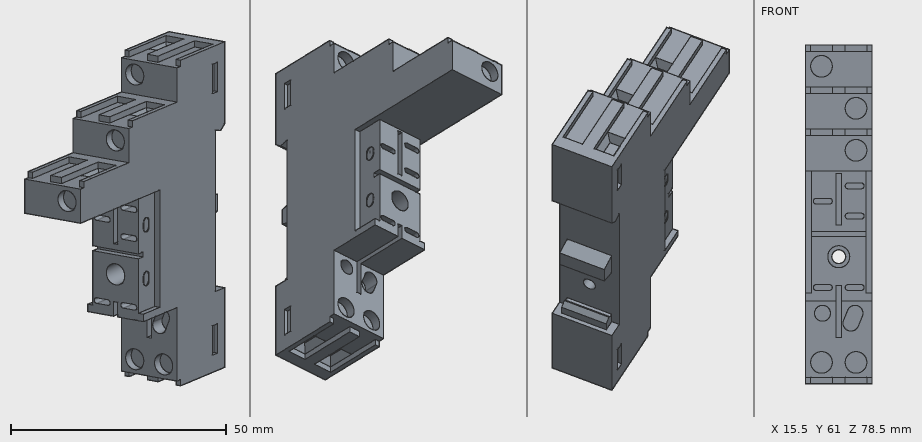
import cadquery as cq
import math


width = 15.5
height = 78.5
full_reach = 61.0
head_reach = 20.2
socket_reach = 34.4
arm_underside = 49.3
seat_bottom = 19.2
terminal_sides = (-1, 1, 1)
tier_count = len(terminal_sides)
tier_pitch = (full_reach - head_reach) / (tier_count - 1)
tier_height = (height - arm_underside) / tier_count

wire_notch = 1.5
channel_width = 5.0
channel_offset = 4.0
channel_length = 16.95
pocket_length = 7.15
pocket_inset = 1.2
pocket_depth = 2.0
screw_diameter = 5.0
screw_depth = 2.35
screw_inset = 4.95

rail_recess = 3.85
upper_hook_root = 58.1
upper_hook_tip = (1.8, 57.5)
upper_hook_back = 58.7
clip_inset = 2.0
rail_stop_center = 39.4
rail_stop_root_height = 6.0
rail_stop_tip_height = 4.0
lower_clip_reach = 1.0
lower_clip_shoulder = 21.3
lower_clip_peak = (2.35, 22.3)
lower_clip_root = 21.8
lower_clip_notch = 3.0

seat_side_depth = 1.4
seat_side_start = 27.5
seat_side_bottom = 21.0
groove_bottom = 34.15
groove_height = 1.2
groove_depth = 2.0
dimple_reach = 30.9
dimple_heights = (28.6, 41.5)
dimple_length = 3.45
dimple_width = 2.3
dimple_sink = 0.2

slit_width = 1.2
slit_height = 12.0
slit_bottoms = (10.75, 36.7)
slit_floor_reach = 16.25
blade_length = 4.4
blade_height = 1.3
blade_offset = 3.7
blade_depth = 3.9
blade_places = (
    (blade_offset, 45.85),
    (-blade_offset, 42.3),
    (blade_offset, 38.85),
    (-blade_offset, 22.3),
    (blade_offset, 22.3),
)
mount_height = 29.4
mount_diameter = 3.15
mount_head_diameter = 5.1
mount_head_depth = 9.4
coil_diameter = 3.7
coil_offset = 3.8
coil_height = 16.3
coil_depth = 3.9
coil_slot_end = (2.8, 14.05)

label_reach = 3.0
label_width = 2.1
label_height = 7.1
label_bottoms = (4.15, 67.2)
label_depth = 1.0


def block(x_range, reach_range, z_range):
    """Box between two X values, two reaches and two heights."""
    x0, x1 = x_range
    r0, r1 = reach_range
    z0, z1 = z_range
    return cq.Workplane("XY").box(x1 - x0, r1 - r0, z1 - z0, centered=False).translate((x0, -r1, z0))


def side_profile(points, thickness):
    """Outline given as (reach, height) points, extruded evenly about the mid-plane."""
    outline = [(-reach, z) for reach, z in points]
    return cq.Workplane("YZ").polyline(outline).close().extrude(thickness / 2, both=True)


def front_sketch(reach, x, z):
    """Workplane on a front face; a negative extrusion runs inward toward the rail."""
    return cq.Workplane("XZ", origin=(x, -reach, z))


def front_hole(diameter, reach, x, z, depth):
    return front_sketch(reach, x, z).circle(diameter / 2).extrude(-depth)


def front_slot(length, diameter, reach, x, z, depth, angle=0):
    return front_sketch(reach, x, z).slot2D(length, diameter, angle).extrude(-depth)


def make_body():
    points = [(0, 0), (head_reach, 0), (head_reach, seat_bottom), (socket_reach, seat_bottom)]
    points.append((socket_reach, arm_underside))
    points.append((full_reach, arm_underside))
    for tier in reversed(range(tier_count)):
        tier_top = height - tier * tier_height
        points.append((head_reach + tier * tier_pitch, tier_top))
        if tier > 0:
            points.append((head_reach + (tier - 1) * tier_pitch, tier_top))
    points += [(0, height), (0, upper_hook_back), upper_hook_tip, (rail_recess, upper_hook_root)]
    points += [(rail_recess, seat_bottom), (0, seat_bottom)]
    return side_profile(points, width)


def make_rail_clips():
    clip_width = width - 2 * clip_inset
    root = rail_stop_root_height / 2
    tip = rail_stop_tip_height / 2
    rail_stop = side_profile([
        (rail_recess, rail_stop_center - root),
        (0, rail_stop_center - tip),
        (0, rail_stop_center + tip),
        (rail_recess, rail_stop_center + root),
    ], clip_width)
    lower_clip = side_profile([
        (rail_recess, seat_bottom),
        (lower_clip_reach, seat_bottom),
        (lower_clip_reach, lower_clip_shoulder),
        lower_clip_peak,
        (lower_clip_notch, lower_clip_root),
        (rail_recess, lower_clip_root),
    ], clip_width)
    return rail_stop.union(lower_clip)


def make_wire_entry(front_reach, pocket_sides):
    """Cutter for the top of one tier whose top face is at Z = 0."""
    half = width / 2
    cutter = block((-half, half), (front_reach - wire_notch, front_reach), (-wire_notch, 0))
    start = front_reach - channel_length
    for side in (-1, 1):
        center = side * channel_offset
        x_range = (center - channel_width / 2, center + channel_width / 2)
        cutter = cutter.union(block(x_range, (start, front_reach), (-wire_notch, 0)))
    taper = math.degrees(math.atan2(pocket_inset, pocket_depth))
    for side in pocket_sides:
        pocket = (
            cq.Workplane("XY", origin=(side * channel_offset, -start - pocket_length / 2, -wire_notch))
            .rect(channel_width, pocket_length)
            .extrude(-pocket_depth, taper=taper)
        )
        cutter = cutter.union(pocket)
    return cutter


def cut_terminals(body):
    for tier, side in enumerate(terminal_sides):
        reach = head_reach + tier * tier_pitch
        top = height - tier * tier_height
        body = body.cut(make_wire_entry(reach, (side,)).translate((0, 0, top)))
        screw_z = top - screw_inset
        body = body.cut(front_hole(screw_diameter, reach, side * channel_offset, screw_z, screw_depth))
    both = (-1, 1)
    body = body.cut(make_wire_entry(head_reach, both).mirror("XY"))
    for side in both:
        x = side * channel_offset
        body = body.cut(front_hole(screw_diameter, head_reach, x, screw_inset, screw_depth))
    return body


def shape_relay_seat(body):
    inner = width / 2 - seat_side_depth
    for side in (-1, 1):
        x_range = sorted((side * inner, side * width / 2))
        relief = block(x_range, (seat_side_start, socket_reach), (seat_side_bottom, arm_underside))
        body = body.cut(relief)
        for z in dimple_heights:
            dimple = (
                cq.Workplane("YZ", origin=(side * inner, -dimple_reach, z))
                .slot2D(dimple_length, dimple_width, 90)
                .extrude(-side * dimple_sink)
            )
            body = body.cut(dimple)
    groove_z = (groove_bottom, groove_bottom + groove_height)
    return body.cut(block((-inner, inner), (socket_reach - groove_depth, socket_reach), groove_z))


def cut_front_openings(body):
    for z in slit_bottoms:
        slit_x = (-slit_width / 2, slit_width / 2)
        body = body.cut(block(slit_x, (slit_floor_reach, socket_reach), (z, z + slit_height)))
    for x, z in blade_places:
        body = body.cut(front_slot(blade_length, blade_height, socket_reach, x, z, blade_depth))
    body = body.cut(front_hole(mount_diameter, socket_reach, 0, mount_height, socket_reach))
    body = body.cut(front_hole(mount_head_diameter, socket_reach, 0, mount_height, mount_head_depth))

    body = body.cut(front_hole(coil_diameter, head_reach, -coil_offset, coil_height, coil_depth))
    end_x, end_z = coil_slot_end
    rise = coil_height - end_z
    run = coil_offset - end_x
    coil_slot = front_slot(
        math.hypot(run, rise) + coil_diameter,
        coil_diameter,
        head_reach,
        (coil_offset + end_x) / 2,
        (coil_height + end_z) / 2,
        coil_depth,
        math.degrees(math.atan2(rise, run)),
    )
    return body.cut(coil_slot)


def cut_label_pockets(body):
    inner = width / 2 - label_depth
    for side in (-1, 1):
        x_range = sorted((side * inner, side * width / 2))
        for z in label_bottoms:
            pocket = block(x_range, (label_reach, label_reach + label_width), (z, z + label_height))
            body = body.cut(pocket)
    return body


result = make_body().union(make_rail_clips())
result = cut_terminals(result)
result = shape_relay_seat(result)
result = cut_front_openings(result)
result = cut_label_pockets(result)